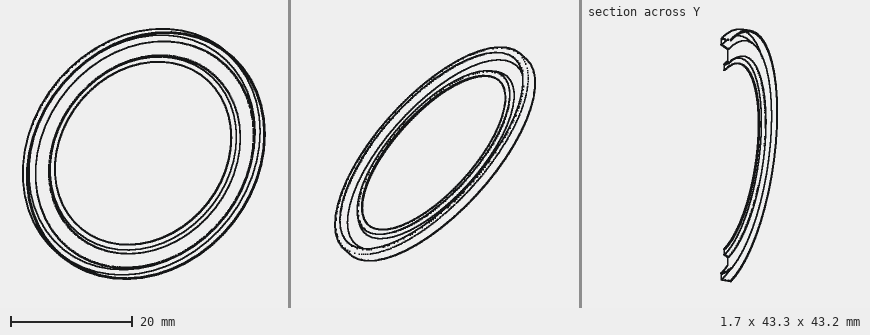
import math

import cadquery as cq

width = 1.7
sheet_thickness = 0.2
outer_radius = 43.25 / 2
bore_radius = 16.0
rim_edge_radius = 0.2

groove_floor_x = 1.15
groove_outer_mouth_radius = 20.4
groove_outer_floor_radius = 19.75
groove_inner_floor_radius = 17.4

lip_face_x = 0.5
lip_outer_radius = 17.0


def front_profile():
    """Front side of the sheet as (x, radius) points, from the bore to the end of the skirt."""
    return [
        (lip_face_x, bore_radius),
        (lip_face_x, lip_outer_radius),
        (groove_floor_x, groove_inner_floor_radius),
        (groove_floor_x, groove_outer_floor_radius),
        (0, groove_outer_mouth_radius),
        (0, outer_radius),
        (width, outer_radius),
    ]


def back_normal(start, end):
    """Unit normal of a front segment, pointing into the sheet."""
    dx = end[0] - start[0]
    dr = end[1] - start[1]
    length = math.hypot(dx, dr)
    return dr / length, -dx / length


def back_profile(front):
    """Back side of the sheet: the front side offset by the sheet thickness with sharp corners."""
    normals = [back_normal(start, end) for start, end in zip(front, front[1:])]
    before = [normals[0]] + normals
    after = normals + [normals[-1]]
    back = []
    for (x, radius), (ax, ar), (bx, br) in zip(front, before, after):
        reach = sheet_thickness / (1 + ax * bx + ar * br)
        back.append((x + reach * (ax + bx), radius + reach * (ar + br)))
    return back


def pressed_ring():
    """Full ring with sharp corners, revolved about X."""
    front = front_profile()
    section = cq.Workplane("XY").polyline(front + back_profile(front)[::-1]).close()
    return section.revolve(360, (0, 0, 0), (1, 0, 0))


def round_rim_edge(ring):
    """Round the outer edge where the rim face meets the skirt."""
    return ring.faces("<X").edges(cq.selectors.RadiusNthSelector(-1)).fillet(rim_edge_radius)


result = round_rim_edge(pressed_ring())